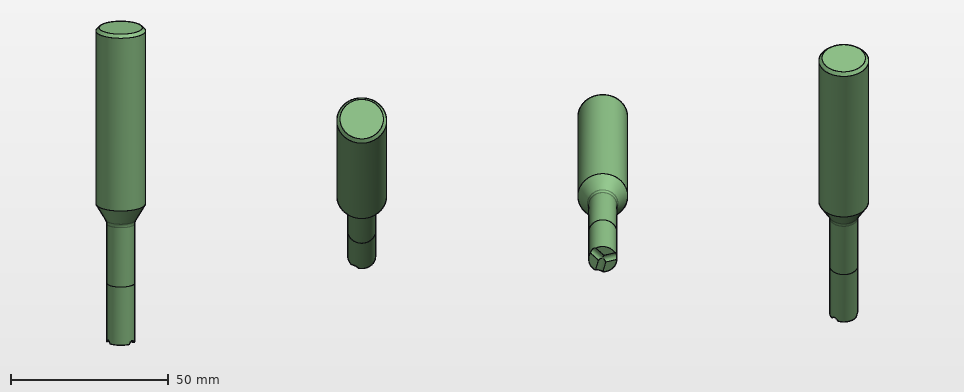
import cadquery as cq
import math

total_length = 104.2
shank_radius = 15.8 / 2
neck_radius = 9.0 / 2
tip_length = 19.4
cone_top = 45.8
top_chamfer = 1.0

cone_half_angle = math.radians(30)
blend_radius = 2.5

groove_count = 3
groove_radius = 1.3
groove_depth = 0.9
first_groove_angle = -90


def make_shank():
    """Revolve the neck, blend, cone and chamfered shank as one solid."""
    blend_top_radius = neck_radius + blend_radius * (1 - math.cos(cone_half_angle))
    blend_top = cone_top - (shank_radius - blend_top_radius) / math.tan(cone_half_angle)
    blend_bottom = blend_top - blend_radius * math.sin(cone_half_angle)
    blend_middle = (
        neck_radius + blend_radius * (1 - math.cos(cone_half_angle / 2)),
        blend_bottom + blend_radius * math.sin(cone_half_angle / 2),
    )
    return (
        cq.Workplane("XZ")
        .moveTo(0, tip_length)
        .lineTo(neck_radius, tip_length)
        .lineTo(neck_radius, blend_bottom)
        .threePointArc(blend_middle, (blend_top_radius, blend_top))
        .lineTo(shank_radius, cone_top)
        .lineTo(shank_radius, total_length - top_chamfer)
        .lineTo(shank_radius - top_chamfer, total_length)
        .lineTo(0, total_length)
        .close()
        .revolve(360, (0, 0, 0), (0, 1, 0))
    )


def make_groove(angle):
    """Make a round bar along the end face, from the axis out past the rim."""
    bar_height = groove_depth - groove_radius
    bar = cq.Workplane("YZ").center(0, bar_height).circle(groove_radius).extrude(2 * neck_radius)
    return bar.rotate((0, 0, 0), (0, 0, 1), angle)


def make_tip():
    """Make the cutting end, with grooves evenly spaced around its lower face."""
    tip = cq.Workplane("XY").circle(neck_radius).extrude(tip_length)
    for index in range(groove_count):
        tip = tip.cut(make_groove(first_groove_angle + index * 360 / groove_count))
    return tip


shank = make_shank()
tip = make_tip()
result = cq.Compound.makeCompound([shank.val(), tip.val()])